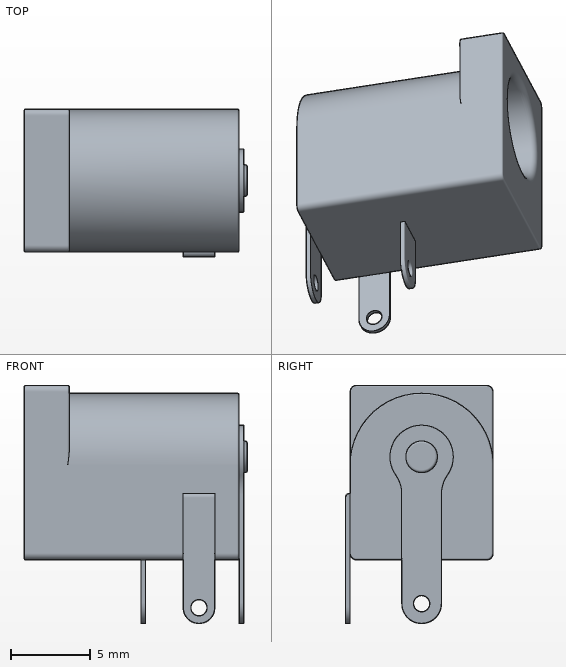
import cadquery as cq
import math

body_length = 13.53
body_width = 9.0
body_bottom = 4.0
flange_length = 2.85
flange_top = 15.0
corner_radius = 0.4
edge_radius = 0.1
barrel_radius = body_width / 2
barrel_center_z = 10.0
body_start = flange_length / 2

socket_axis_z = 10.5
socket_diameter = 6.3
socket_depth = 12.0
socket_mouth_radius = 0.4
pin_diameter = 2.1
pin_tip_x = 1.0

tab_thickness = 0.3
tab_edge_radius = 0.05
tab_hole_diameter = 1.0
wide_tab_width = 2.5
side_tab_width = 2.0
side_tab_x = 11.01
side_tab_top = 8.2
side_tab_top_radius = 0.28
middle_tab_x = 7.5
tab_embed = 0.75

contact_radius = 2.0
contact_blend_radius = 2.0
rivet_diameter = 2.0
rivet_height = 0.22
rivet_edge_radius = 0.15


def x_cylinder(diameter, center_z, start, length):
    """Cylinder along +X, centred on Y = 0."""
    return (
        cq.Workplane("YZ", origin=(start, 0, center_z))
        .circle(diameter / 2)
        .extrude(length)
    )


def make_flange():
    height = flange_top - body_bottom
    return (
        cq.Workplane("XY", origin=(0, 0, body_bottom))
        .box(flange_length, body_width, height, centered=(False, True, False))
        .edges("|X").fillet(corner_radius)
        .faces("<X or >X").edges().fillet(edge_radius)
    )


def make_body():
    return (
        cq.Workplane("YZ", origin=(body_start, 0, 0))
        .moveTo(-barrel_radius, body_bottom)
        .lineTo(barrel_radius, body_bottom)
        .lineTo(barrel_radius, barrel_center_z)
        .threePointArc((0, barrel_center_z + barrel_radius), (-barrel_radius, barrel_center_z))
        .close()
        .extrude(body_length - body_start)
        .edges("|X and <Z").fillet(corner_radius)
        .faces(">X").edges().fillet(edge_radius)
    )


def make_socket():
    """Cutter for the round socket, with a rounded mouth and the pin left standing."""
    bore = x_cylinder(socket_diameter, socket_axis_z, 0, socket_depth)
    mouth_outer = socket_diameter / 2 + socket_mouth_radius
    mouth_mid = mouth_outer - socket_mouth_radius * math.sin(math.pi / 4)
    mouth_mid_x = socket_mouth_radius * (1 - math.sin(math.pi / 4))
    mouth = (
        cq.Workplane("XY")
        .lineTo(0, mouth_outer)
        .threePointArc((mouth_mid_x, mouth_mid), (socket_mouth_radius, socket_diameter / 2))
        .lineTo(socket_mouth_radius, 0)
        .close()
        .revolve(360, (0, 0, 0), (1, 0, 0))
        .translate((0, 0, socket_axis_z))
    )
    pin_center_x = pin_tip_x + pin_diameter / 2
    pin_tip = cq.Workplane("XY", origin=(pin_center_x, 0, socket_axis_z)).sphere(pin_diameter / 2)
    pin = x_cylinder(pin_diameter, socket_axis_z, pin_center_x, socket_depth - pin_center_x)
    return bore.union(mouth).cut(pin.union(pin_tip))


def tab_outline(plane, width, top):
    """Straight tab centred on the plane's origin, with a full round tip touching Z = 0."""
    radius = width / 2
    return (
        plane.moveTo(-radius, top)
        .lineTo(-radius, radius)
        .threePointArc((0, 0), (radius, radius))
        .lineTo(radius, top)
        .close()
        .extrude(tab_thickness)
    )


def pierce_tab(tab, plane, width):
    hole = plane.center(0, width / 2).circle(tab_hole_diameter / 2).extrude(tab_thickness)
    return tab.cut(hole)


def make_middle_tab():
    plane = cq.Workplane("YZ", origin=(middle_tab_x - tab_thickness / 2, 0, 0))
    tab = tab_outline(plane, wide_tab_width, body_bottom + tab_embed)
    tab = pierce_tab(tab, plane, wide_tab_width)
    return tab.faces("<X or >X").edges().fillet(tab_edge_radius)


def make_side_tab():
    plane = cq.Workplane("XZ", origin=(side_tab_x, -body_width / 2, 0))
    tab = tab_outline(plane, side_tab_width, side_tab_top)
    tab = tab.faces(">Z").edges("<Y").fillet(side_tab_top_radius)
    tab = pierce_tab(tab, plane, side_tab_width)
    return tab.faces("<Y").edges("not >Z").fillet(tab_edge_radius)


def make_rear_contact():
    half_width = wide_tab_width / 2
    blend_y = half_width + contact_blend_radius
    center_distance = contact_radius + contact_blend_radius
    angle = math.acos(blend_y / center_distance)
    blend_z = socket_axis_z - center_distance * math.sin(angle)
    touch_y = contact_radius * math.cos(angle)
    touch_z = socket_axis_z - contact_radius * math.sin(angle)
    mid_y = blend_y - contact_blend_radius * math.cos(angle / 2)
    mid_z = blend_z + contact_blend_radius * math.sin(angle / 2)

    plane = cq.Workplane("YZ", origin=(body_length, 0, 0))
    contact = (
        plane.moveTo(-half_width, half_width)
        .threePointArc((0, 0), (half_width, half_width))
        .lineTo(half_width, blend_z)
        .threePointArc((mid_y, mid_z), (touch_y, touch_z))
        .threePointArc((0, socket_axis_z + contact_radius), (-touch_y, touch_z))
        .threePointArc((-mid_y, mid_z), (-half_width, blend_z))
        .close()
        .extrude(tab_thickness)
    )
    contact = pierce_tab(contact, plane, wide_tab_width)
    contact = contact.faces(">X").edges().fillet(tab_edge_radius)
    rivet = x_cylinder(rivet_diameter, socket_axis_z, body_length + tab_thickness, rivet_height)
    return contact.union(rivet.faces(">X").edges().fillet(rivet_edge_radius))


result = (
    make_flange()
    .union(make_body())
    .cut(make_socket())
    .union(make_middle_tab())
    .union(make_side_tab())
    .union(make_rear_contact())
)